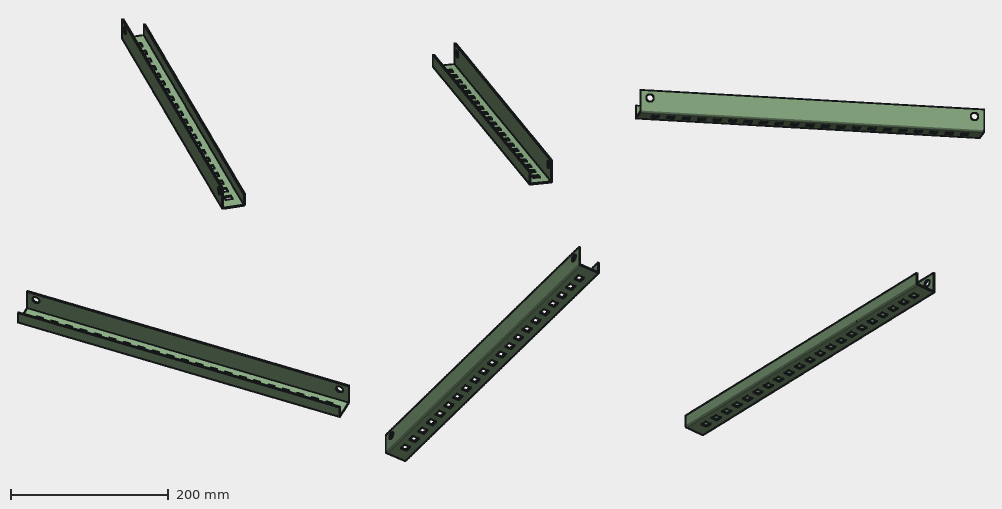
import cadquery as cq

length = 445.0
width = 30.5
tall_flange_height = 30.0
short_flange_height = 17.5
thickness = 2.0
outer_bend_radius = thickness

square_count = 21
square_pitch = 20.0
square_size = 9.0

mount_diameter = 10.0
mount_end_distance = 12.5
mount_top_distance = 10.0

front_y = -width / 2


def box_from_corner(size_y, size_z, corner_y, corner_z):
    """Full-length box placed by its lowest Y and Z corner."""
    box = cq.Workplane("XY").box(length, size_y, size_z, centered=(True, False, False))
    return box.translate((0, corner_y, corner_z))


def make_channel():
    """J-shaped channel with bends sharp inside and rounded outside and the tall flange on the -Y side."""
    outer = box_from_corner(width, tall_flange_height, front_y, 0)
    outer = outer.edges("|X and <Z").fillet(outer_bend_radius)
    inner = box_from_corner(width - 2 * thickness, tall_flange_height, front_y + thickness, thickness)
    above_short_flange = box_from_corner(width / 2, tall_flange_height, 0, short_flange_height)
    return outer.cut(inner).cut(above_short_flange)


def make_square_holes():
    """Cutters for the evenly spaced square holes through the web."""
    return (
        cq.Workplane("XY")
        .rarray(square_pitch, 4.5, square_count, 1)
        .rect(square_size, square_size)
        .extrude(thickness)
    )


def make_mount_holes():
    """Cutters for the two round holes through the tall flange only."""
    mount_x = length / 2 - mount_end_distance
    mount_z = tall_flange_height - mount_top_distance
    return (
        cq.Workplane("XZ", origin=(0, front_y + thickness, 0))
        .pushPoints([(-mount_x, mount_z), (mount_x, mount_z)])
        .circle(mount_diameter / 2)
        .extrude(thickness)
    )


result = make_channel().cut(make_square_holes()).cut(make_mount_holes())